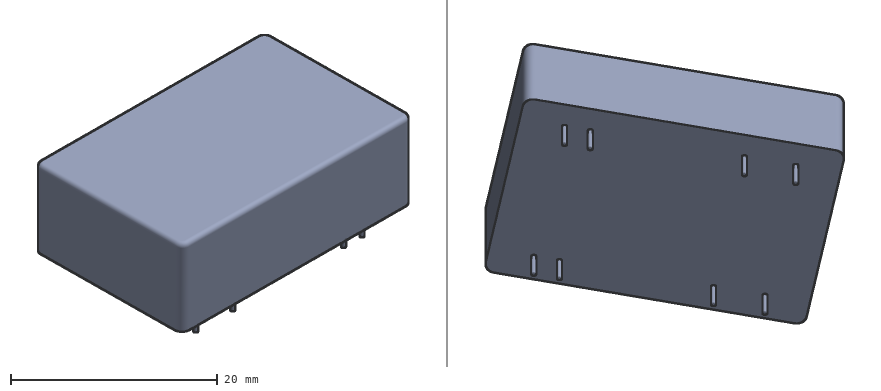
import cadquery as cq

case_width = 20.32
case_length = 31.75
total_height = 13.45
pin_length = 3.1
case_height = total_height - pin_length
corner_radius = 1.02
top_edge_radius = 0.5

pin_diameter = 0.5
pin_tip_fillet = 0.13
pin_embed = 0.32
pitch = 2.55
row_offset = 3 * pitch
pin_steps = (-4.5, -2.5, 3.5, 4.5)


def make_case():
    """Block with rounded upright corners and a rounded top rim, standing on Z = 0."""
    block = cq.Workplane("XY").box(case_width, case_length, case_height, centered=(True, True, False))
    block = block.edges("|Z").fillet(corner_radius)
    return block.faces(">Z").edges().fillet(top_edge_radius)


def make_pins():
    """Both rows of pins, rounded at the tips and sunk slightly into the case."""
    places = [(side * row_offset, step * pitch) for side in (-1, 1) for step in pin_steps]
    pins = (
        cq.Workplane("XY", origin=(0, 0, -pin_length))
        .pushPoints(places)
        .circle(pin_diameter / 2)
        .extrude(pin_length + pin_embed)
    )
    return pins.faces("<Z").edges().fillet(pin_tip_fillet)


result = make_case().union(make_pins())